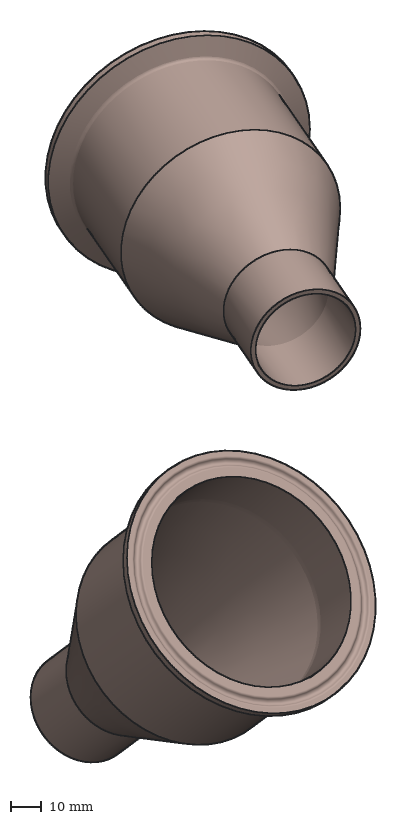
import cadquery as cq
import math


total_length = 120.6
rim_width = 2.8
bore_cone_start = 22.6
cone_start = 50.8
cone_end = 95.2

wall = 1.7
large_radius = 76.3 / 2
small_radius = large_radius / 2
large_bore_radius = large_radius - wall
small_bore_radius = small_radius - wall
bore_blend_radius = 7.2

flange_radius = 91.0 / 2
flange_back_angle = 20.0
flange_root_radius = 1.2
back_length = (flange_radius - large_radius) * math.tan(math.radians(flange_back_angle))
flange_root = rim_width + back_length

groove_middle_radius = 41.6
groove_depth = 1.0
groove_section_radius = 1.5
groove_lip_radius = 1.0

pick_tolerance = 0.1


def revolve_profile(points):
    """Solid of revolution about X from (station, radius) points."""
    return cq.Workplane("XY").polyline(points).close().revolve(360, (0, 0, 0), (1, 0, 0))


def edges_at_station(station):
    """Selector for the circular edges whose centre lies at one X station."""
    return cq.selectors.BoxSelector(
        (station - pick_tolerance, -flange_radius, -flange_radius),
        (station + pick_tolerance, flange_radius, flange_radius),
    )


def outer_body():
    """Flange, large tube, cone and small tube, solid through."""
    body = revolve_profile(
        [
            (0, 0),
            (0, flange_radius),
            (rim_width, flange_radius),
            (flange_root, large_radius),
            (cone_start, large_radius),
            (cone_end, small_radius),
            (total_length, small_radius),
            (total_length, 0),
        ]
    )
    return body.edges(edges_at_station(flange_root)).fillet(flange_root_radius)


def bore():
    """Stepless bore: large cylinder blended into a long cone, then the small cylinder."""
    cutter = revolve_profile(
        [
            (0, 0),
            (0, large_bore_radius),
            (bore_cone_start, large_bore_radius),
            (cone_end, small_bore_radius),
            (total_length, small_bore_radius),
            (total_length, 0),
        ]
    )
    return cutter.edges(edges_at_station(bore_cone_start)).fillet(bore_blend_radius)


def gasket_groove():
    """Ring cutter: a round bottom that runs tangentially into two rounded lips."""
    arc_radii = groove_section_radius + groove_lip_radius
    wall_angle = math.acos(1 - groove_depth / arc_radii)
    half_width = arc_radii * math.sin(wall_angle)

    def lip_point(angle, side):
        """Point on a lip arc, turned by angle from the flange face."""
        station = groove_lip_radius * (1 - math.cos(angle))
        offset = half_width - groove_lip_radius * math.sin(angle)
        return (station, groove_middle_radius + side * offset)

    return (
        cq.Workplane("XY")
        .moveTo(*lip_point(0, -1))
        .threePointArc(lip_point(wall_angle / 2, -1), lip_point(wall_angle, -1))
        .threePointArc((groove_depth, groove_middle_radius), lip_point(wall_angle, 1))
        .threePointArc(lip_point(wall_angle / 2, 1), lip_point(0, 1))
        .close()
        .revolve(360, (0, 0, 0), (1, 0, 0))
    )


result = outer_body().cut(bore()).cut(gasket_groove())